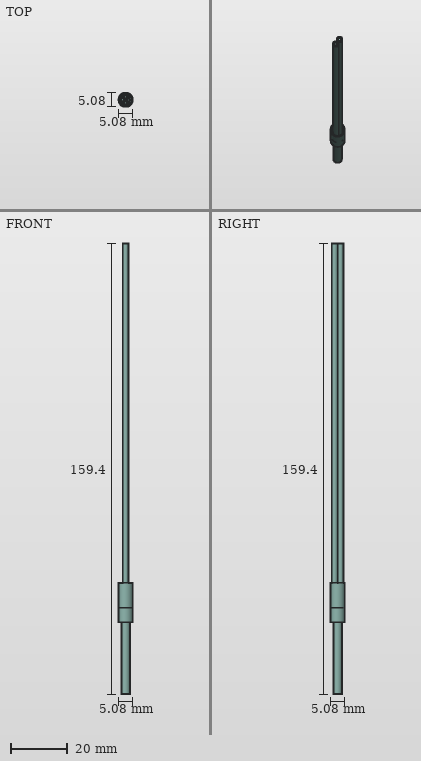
import cadquery as cq

rod_diameter = 3.1
rod_exposed_length = 25.4

cup_diameter = 5.08
cup_length = 13.97
cup_wall = 0.35
cup_floor = 5.08

lead_diameter = 2.1
lead_exposed_length = 120.0
core_diameter = 1.05

ring_spacing = 10.0
ring_count = 2

cup_base = rod_exposed_length
rod_length = rod_exposed_length + cup_floor
cup_bore_diameter = cup_diameter - 2 * cup_wall
cup_depth = cup_length - cup_floor
lead_base = rod_length
lead_length = cup_depth + lead_exposed_length
lead_positions = [side * lead_diameter / 2 for side in (-1, 1)]


def cylinder(diameter, length, base, y=0.0):
    """Upright round bar whose bottom face is centred at (0, y, base)."""
    return cq.Workplane("XY", origin=(0, y, base)).circle(diameter / 2).extrude(length)


def tube(length, base, y):
    """Stretch of insulation around the core of one lead."""
    return cylinder(lead_diameter, length, base, y).cut(cylinder(core_diameter, length, base, y))


def make_rod():
    """Rod whose upper end is flush with the cup floor."""
    return cylinder(rod_diameter, rod_length, 0)


def make_cup():
    """Cup with a bore above its floor and a hole for the rod through it."""
    outside = cylinder(cup_diameter, cup_length, cup_base)
    bore = cylinder(cup_bore_diameter, cup_depth, lead_base)
    rod_hole = cylinder(rod_diameter, cup_floor, cup_base)
    return outside.cut(bore).cut(rod_hole)


def make_core(y):
    """Conductor that runs the full length of one lead."""
    return cylinder(core_diameter, lead_length, lead_base, y)


def make_jacket(y):
    """One solid stacked from flush stretches, keeping the ring between each pair."""
    lower_length = lead_length - ring_count * ring_spacing
    jacket = tube(lower_length, lead_base, y)
    for index in range(ring_count):
        base = lead_base + lower_length + index * ring_spacing
        jacket = jacket.union(tube(ring_spacing, base, y), clean=False)
    return jacket


rod = make_rod()
cup = make_cup()
bodies = [*rod.solids().vals(), *cup.solids().vals()]
for lead_y in lead_positions:
    bodies.extend(make_jacket(lead_y).solids().vals())
    bodies.extend(make_core(lead_y).solids().vals())

result = cq.Compound.makeCompound(bodies)